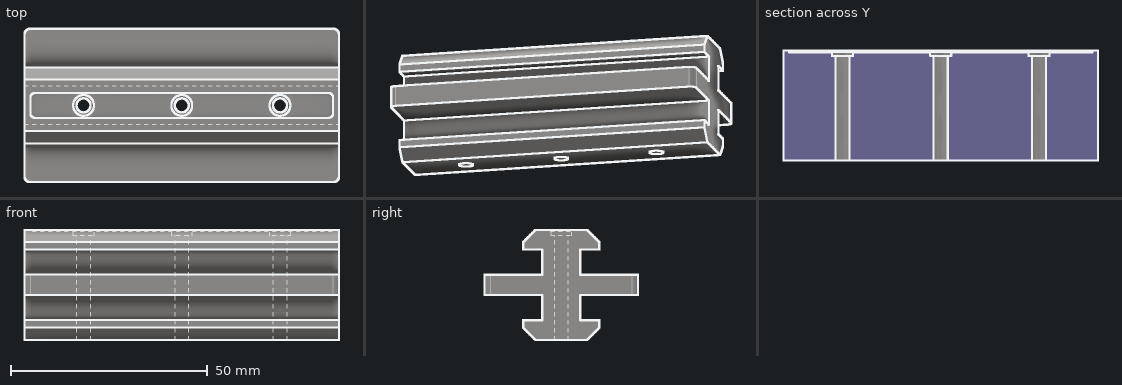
import cadquery as cq

length = 80.0
flange_width = 39.0
height = 28.0

flange_thickness = 5.2
flange_corner_radius = 1.5
web_width = 9.8
head_width = 19.4
head_height = 5.0
head_chamfer = 3.1

pocket_length = 77.0
pocket_width = 6.3
pocket_depth = 0.5
pocket_corner_radius = 1.2

hole_count = 3
hole_pitch = 25.0
hole_diameter = 3.5
counterbore_diameter = 5.3
counterbore_depth = 1.0

top_z = height / 2
pocket_floor_z = top_z - pocket_depth


def make_flange():
    """Wide centre plate with rounded vertical corners."""
    plate = cq.Workplane("XY").box(length, flange_width, flange_thickness)
    return plate.edges("|Z").fillet(flange_corner_radius)


def make_head(side):
    """Rail along the top (side = 1) or bottom (side = -1), outer edges chamfered."""
    center_z = side * (height - head_height) / 2
    outer_edges = ">Z and |X" if side > 0 else "<Z and |X"
    head = cq.Workplane("XY").box(length, head_width, head_height)
    head = head.edges(outer_edges).chamfer(head_chamfer)
    return head.translate((0, 0, center_z))


def make_pocket():
    """Volume removed by the rounded rectangular pocket."""
    pocket = cq.Workplane("XY").workplane(offset=pocket_floor_z)
    pocket = pocket.rect(pocket_length, pocket_width).extrude(pocket_depth)
    return pocket.edges("|Z").fillet(pocket_corner_radius)


web = cq.Workplane("XY").box(length, web_width, height)
result = make_flange().union(web).union(make_head(1)).union(make_head(-1))
result = result.cut(make_pocket())

result = (
    result.copyWorkplane(cq.Workplane("XY", origin=(0, 0, pocket_floor_z)))
    .rarray(hole_pitch, 0.8, hole_count, 1)
    .cboreHole(hole_diameter, counterbore_diameter, counterbore_depth)
)